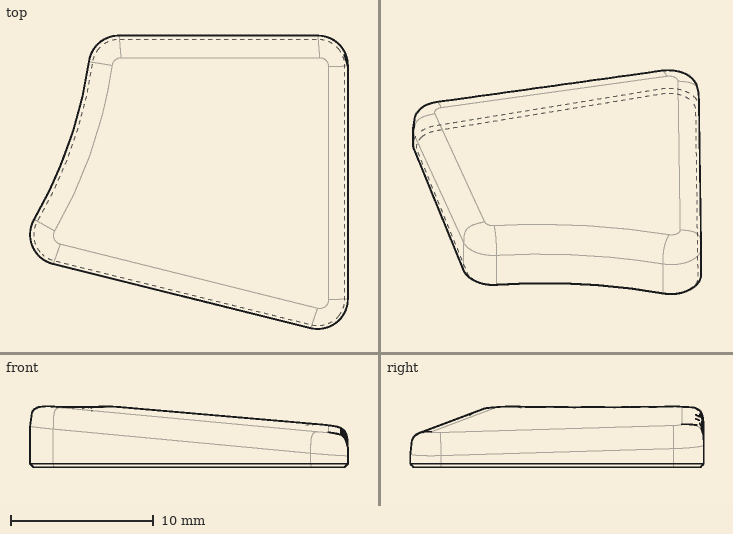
import cadquery as cq
import math

length_x = 22.26
depth_y = 20.55
stock_height = 10
corner_radius = 4.25 / 2
front_edge_angle = math.radians(14)
hollow_radius = 30.5
hollow_start_angle = math.radians(-30.2)
top_slope = 0.0915
left_corner_height = 4.217
edge_blend = 1.5
blend_fullness = 0.62
blend_sections = 10
bottom_chamfer = 0.25

back_right = (-corner_radius, -corner_radius)
front_right = (-corner_radius, corner_radius - depth_y)
front_left_x = corner_radius - length_x
front_left_y = front_right[1] + (front_right[0] - front_left_x) * math.tan(front_edge_angle)
front_left = (front_left_x, front_left_y)

axis_distance = hollow_radius + corner_radius
hollow_axis = (
    front_left_x - axis_distance * math.cos(hollow_start_angle),
    front_left_y - axis_distance * math.sin(hollow_start_angle),
)
back_left_y = -corner_radius
back_left_x = hollow_axis[0] + math.sqrt(axis_distance**2 - (back_left_y - hollow_axis[1]) ** 2)
back_left = (back_left_x, back_left_y)
hollow_end_angle = math.atan2(back_left_y - hollow_axis[1], back_left_x - hollow_axis[0])

left_run_x = back_left_x - front_left_x
left_run_y = back_left_y - front_left_y
left_run = math.hypot(left_run_x, left_run_y)
downhill = (left_run_y / left_run, -left_run_x / left_run)


def on_circle(center, radius, angle):
    """Point at the given angle on a circle."""
    return (center[0] + radius * math.cos(angle), center[1] + radius * math.sin(angle))


def make_outline(inset, shift, z):
    """Closed outline wire at height z, offset inwards by inset and moved downhill by shift."""
    radius = corner_radius - inset
    hollow = hollow_radius + inset
    hollow_middle_angle = (hollow_start_angle + hollow_end_angle) / 2
    front_normal = -math.pi / 2 - front_edge_angle
    hollow_start = on_circle(hollow_axis, hollow, hollow_start_angle)
    outline = (
        cq.Workplane("XY")
        .moveTo(*hollow_start)
        .threePointArc(
            on_circle(hollow_axis, hollow, hollow_middle_angle),
            on_circle(hollow_axis, hollow, hollow_end_angle),
        )
        .threePointArc(
            on_circle(back_left, radius, math.radians(135)),
            on_circle(back_left, radius, math.radians(90)),
        )
        .lineTo(*on_circle(back_right, radius, math.radians(90)))
        .threePointArc(
            on_circle(back_right, radius, math.radians(45)),
            on_circle(back_right, radius, 0),
        )
        .lineTo(*on_circle(front_right, radius, 0))
        .threePointArc(
            on_circle(front_right, radius, math.radians(-45)),
            on_circle(front_right, radius, front_normal),
        )
        .lineTo(*on_circle(front_left, radius, front_normal))
        .threePointArc(on_circle(front_left, radius, math.pi), hollow_start)
        .close()
    )
    return outline.val().translate(cq.Vector(shift * downhill[0], shift * downhill[1], z))


def make_level_cap():
    """Blended cap before tilting: from the full outline at -edge_blend to the inset top at 0."""
    weight = blend_fullness / (1 - blend_fullness)
    sections = []
    for i in range(blend_sections + 1):
        t = i / blend_sections
        total = (1 - t) ** 2 + 2 * weight * t * (1 - t) + t**2
        inset = edge_blend * t**2 / total
        drop = edge_blend * (1 - t) ** 2 / total
        sections.append(make_outline(inset, inset * top_slope, -drop))
    return cq.Solid.makeLoft(sections)


def tilt(shape):
    """Shear a level shape vertically so that its top becomes the sloping top face."""
    slope_x = -top_slope * downhill[0]
    slope_y = -top_slope * downhill[1]
    offset = left_corner_height - slope_x * front_left_x - slope_y * front_left_y
    shear = [[1, 0, 0, 0], [0, 1, 0, 0], [slope_x, slope_y, 1, offset]]
    return shape.transformGeometry(cq.Matrix(shear))


def make_base():
    """Upright body below the blend, cut off along the sloping plane where the blend begins."""
    outline = cq.Solid.extrudeLinear(make_outline(0, 0, 0), [], cq.Vector(0, 0, stock_height))
    base = cq.Workplane(outline).faces("<Z").edges().chamfer(bottom_chamfer)
    span = length_x + depth_y
    corner = cq.Vector(-span, -span, -edge_blend)
    above = cq.Solid.makeBox(2 * span, 2 * span, 2 * stock_height, corner)
    return base.cut(cq.Workplane(tilt(above)))


body = make_base().union(cq.Workplane(tilt(make_level_cap())))
result = body.solids()